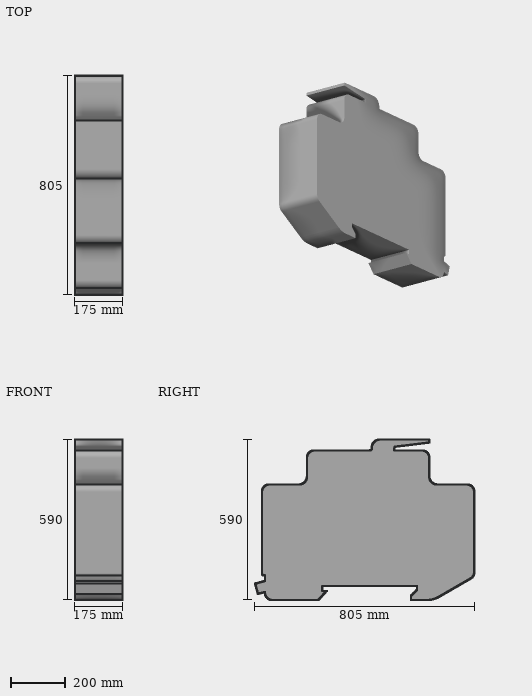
import cadquery as cq
import math


width = 175.0
total_depth = 805.0
total_height = 590.0

body_depth = 780.0
shoulder_height = 425.0
deck_height = 550.0
step_inset = 165.0
step_front = body_depth - step_inset
corner_radius = 28.0

slope_angle = math.radians(30.0)
slope_start_height = 87.0
slope_base_radius = 85.0
slope_end_depth = slope_start_height / math.tan(slope_angle)

arm_front = 377.5
arm_radius = 32.0
arm_tip_thickness = 12.0
arm_tip_radius = 3.5
arm_slope = math.radians(7.0)
arm_length = 127.5
arm_root_fillet = 5.5
slot_end_depth = step_inset + arm_length
slot_end_height = total_height - arm_tip_thickness - arm_length * math.tan(arm_slope)
slot_end_lean = (slot_end_height - deck_height) * math.tan(arm_slope)

channel_back = 211.0
channel_front = 558.0
channel_height = 51.5
back_hook_reach = 22.5
back_hook_lip = 15.5
front_hook_reach = 16.5
front_hook_height = 34.5
front_hook_run = 31.0

relief_depth = 11.0
relief_height = 90.5
relief_edge_radius = 7.0
foot_front = body_depth - relief_depth

tab_tilt = 15.0
tab_thickness = 40.0
tab_length = 60.0
tab_tip_height = 61.0


def side_plane():
    """Plane on the +X side, with local x along -Y and local y along +Z."""
    return cq.Plane(
        origin=(width / 2, total_depth / 2, 0), xDir=(0, -1, 0), normal=(-1, 0, 0)
    )


def rounded_outline(corners):
    """Closed wire through (depth, height, radius) corners; radius 0 stays sharp."""
    path = cq.Workplane(side_plane())
    started = False
    for index, (depth, height, radius) in enumerate(corners):
        corner = cq.Vector(depth, height)
        before = cq.Vector(*corners[index - 1][:2])
        after = cq.Vector(*corners[(index + 1) % len(corners)][:2])
        to_before = (before - corner).normalized()
        to_after = (after - corner).normalized()
        half_angle = to_before.getAngle(to_after) / 2
        setback = radius / math.tan(half_angle)
        entry = (corner + to_before * setback).toTuple()[:2]
        path = path.lineTo(*entry) if started else path.moveTo(*entry)
        started = True
        if radius > 0:
            bisector = (to_before + to_after).normalized()
            middle = corner + bisector * (radius / math.sin(half_angle) - radius)
            leave = corner + to_after * setback
            path = path.threePointArc(middle.toTuple()[:2], leave.toTuple()[:2])
    return path.close()


def make_housing():
    """Body, spring arm and rail channel as one extruded profile."""
    back_and_arm = [
        (0, slope_start_height, corner_radius),
        (0, shoulder_height, corner_radius),
        (step_inset, shoulder_height, corner_radius),
        (step_inset, deck_height, corner_radius),
        (slot_end_depth + slot_end_lean, deck_height, 0),
        (slot_end_depth, slot_end_height, 0),
        (step_inset, total_height - arm_tip_thickness, 0),
        (step_inset, total_height, arm_tip_radius),
        (arm_front, total_height, arm_radius),
        (arm_front, deck_height, arm_root_fillet),
    ]
    front = [
        (step_front, deck_height, corner_radius),
        (step_front, shoulder_height, corner_radius),
        (body_depth, shoulder_height, corner_radius),
        (body_depth, relief_height, relief_edge_radius),
        (foot_front, relief_height, 0),
        (foot_front, 0, corner_radius),
    ]
    front_hook_tip = channel_front - front_hook_reach
    back_hook_tip = channel_back + back_hook_reach
    base = [
        (front_hook_tip + front_hook_run, 0, 0),
        (front_hook_tip, front_hook_height, 0),
        (channel_front, front_hook_height, 0),
        (channel_front, channel_height, 0),
        (channel_back, channel_height, 0),
        (channel_back, back_hook_lip + back_hook_reach, 0),
        (back_hook_tip, back_hook_lip, 0),
        (back_hook_tip, 0, 0),
        (slope_end_depth, 0, slope_base_radius),
    ]
    return rounded_outline(back_and_arm + front + base).extrude(width)


def make_tab():
    """Tilted rectangular tab whose upper tip corner is the foremost point of the part."""
    return (
        cq.Workplane(side_plane())
        .center(total_depth, tab_tip_height)
        .transformed(rotate=(0, 0, -tab_tilt))
        .rect(-tab_length, -tab_thickness, centered=False)
        .extrude(width)
    )


result = make_housing().union(make_tab())